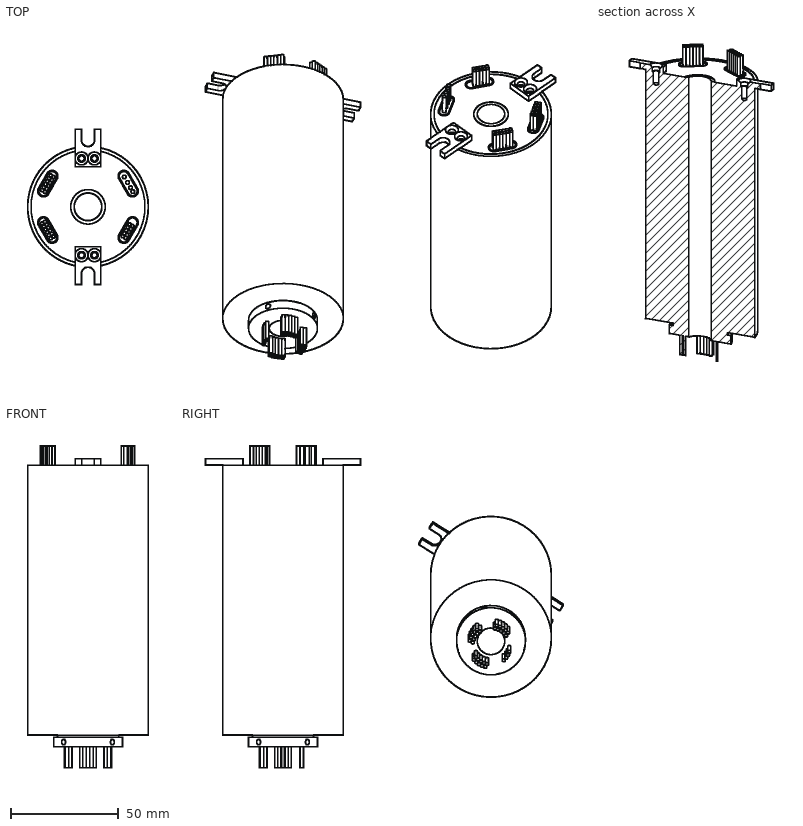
import cadquery as cq
import math

body_diameter = 56.0
body_height = 125.0
bore_diameter = 12.7
cover_inner_diameter = 16.0
cover_outer_diameter = 52.8
cover_recess = 0.2

neck_diameter = 28.5
neck_height = 1.0
flange_diameter = 32.0
flange_height = 4.5
set_screw_diameter = 2.5
set_screw_depth = 4.0
set_screw_angles = (45, 135, 225, 315)

plate_width = 12.0
plate_thickness = 3.0
plate_inner_y = 18.5
plate_outer_y = 36.0
fork_slot_width = 6.0
fork_slot_end_y = 28.0
screw_spacing = 6.0
screw_end_distance = 3.9
countersink_diameter = 6.0
countersink_angle = 90.0
plate_hole_diameter = 3.4
tapped_hole_diameter = 2.5
tapped_hole_depth = 6.0
drill_point_angle = 118.0

window_radius = 21.5
window_centre_length = 8.0
window_width = 5.3
sleeve_wall = 0.5
sleeve_recess = 0.2
window_depth = 0.4

row_count = 2
wire_diameter = 1.5
wire_pitch = 1.58
wire_row_spacing = 1.55
top_wire_length = 9.0
top_bundles = (
    (150, 6, 0.0),
    (210, 6, 0.0),
    (330, 5, -0.6),
)
thick_wire_diameter = 1.7
thick_wire_angle = 30
thick_wire_offsets = (3.6, 0.6, -2.2, -4.3)

bottom_wire_length = 9.7
bottom_wire_pitch = 1.58
bottom_inner_row_radius = 8.65
bottom_outer_row_radius = bottom_inner_row_radius + wire_row_spacing
bottom_single_row_radius = 8.9
double_row = (bottom_inner_row_radius, bottom_outer_row_radius)
bottom_bundles = (
    (0, double_row, 5),
    (90, (bottom_single_row_radius,), 4),
    (180, double_row, 5),
    (270, double_row, 5),
)

cover_z = body_height - cover_recess
window_floor_z = cover_z - window_depth
flange_bottom_z = -neck_height - flange_height
embed = 0.5


def disc(diameter, z_low, z_high):
    """Upright cylinder on the Z axis between two heights."""
    return cq.Workplane("XY").workplane(offset=z_low).circle(diameter / 2).extrude(z_high - z_low)


def centred_steps(count, pitch):
    """Evenly spaced offsets, centred on zero."""
    return [(index - (count - 1) / 2) * pitch for index in range(count)]


def straight_rows(radius, row_spacing, offsets):
    """Wire positions about a point on +X, in straight rows along Y."""
    return [(radius + shift, along) for shift in centred_steps(row_count, row_spacing) for along in offsets]


def arc_row(radius, count, pitch):
    """Wire positions along an arc about the Z axis, centred on +X."""
    turns = centred_steps(count, pitch / radius)
    return [(radius * math.cos(turn), radius * math.sin(turn)) for turn in turns]


def wires(positions, diameter, angle, z_low, z_high):
    """Bundle of upright wires, turned about Z to its place."""
    bundle = cq.Workplane("XY").workplane(offset=z_low).pushPoints(positions)
    bundle = bundle.circle(diameter / 2).extrude(z_high - z_low)
    return bundle.rotate((0, 0, 0), (0, 0, 1), angle)


def drum():
    solid = disc(body_diameter, 0, body_height)
    recess = disc(cover_outer_diameter, cover_z, body_height)
    recess = recess.cut(disc(cover_inner_diameter, cover_z, body_height))
    return solid.cut(recess)


def collar():
    neck = disc(neck_diameter, -neck_height, embed)
    flange = disc(flange_diameter, flange_bottom_z, -neck_height)
    solid = neck.union(flange)
    for angle in set_screw_angles:
        hole = (
            cq.Workplane("YZ")
            .workplane(offset=flange_diameter / 2 - set_screw_depth)
            .center(0, flange_bottom_z + flange_height / 2)
            .circle(set_screw_diameter / 2)
            .extrude(2 * set_screw_depth)
        )
        solid = solid.cut(hole.rotate((0, 0, 0), (0, 0, 1), angle))
    return solid


def window(angle):
    """Stepped obround pocket: a shallow sleeve rim around a deeper floor."""
    def pocket(width, top_z, floor_z):
        return (
            cq.Workplane("XY", origin=(window_radius, 0, floor_z))
            .slot2D(window_centre_length + width, width, 90)
            .extrude(top_z - floor_z)
        )

    rim = pocket(window_width, body_height, cover_z - sleeve_recess)
    well = pocket(window_width - 2 * sleeve_wall, body_height, window_floor_z)
    return rim.union(well).rotate((0, 0, 0), (0, 0, 1), angle)


def fork_plate():
    """Plate on the +Y side, open fork pointing outward."""
    length = plate_outer_y - plate_inner_y
    plate = cq.Workplane("XY", origin=(0, plate_inner_y + length / 2, body_height))
    plate = plate.rect(plate_width, length).extrude(plate_thickness)
    slot_centre_y = fork_slot_end_y + fork_slot_width / 2
    slot = (
        cq.Workplane("XY", origin=(0, 0, body_height))
        .moveTo(-fork_slot_width / 2, plate_outer_y)
        .lineTo(-fork_slot_width / 2, slot_centre_y)
        .threePointArc((0, fork_slot_end_y), (fork_slot_width / 2, slot_centre_y))
        .lineTo(fork_slot_width / 2, plate_outer_y)
        .close()
        .extrude(plate_thickness)
    )
    seat_length = cover_outer_diameter / 2 - plate_inner_y
    seat = cq.Workplane("XY", origin=(0, plate_inner_y + seat_length / 2, cover_z))
    seat = seat.rect(plate_width, seat_length).extrude(cover_recess)
    return plate.cut(slot).union(seat)


def screw_hole(x, y):
    """Countersunk clearance hole in the plate over a blind tapped hole in the drum."""
    plate_top_z = body_height + plate_thickness
    sink_radius = countersink_diameter / 2
    clear_radius = plate_hole_diameter / 2
    tap_radius = tapped_hole_diameter / 2
    sink_depth = (sink_radius - clear_radius) / math.tan(math.radians(countersink_angle / 2))
    point_depth = tap_radius / math.tan(math.radians(drill_point_angle / 2))
    tap_bottom_z = cover_z - tapped_hole_depth
    return (
        cq.Workplane("XZ")
        .moveTo(0, plate_top_z)
        .lineTo(sink_radius, plate_top_z)
        .lineTo(clear_radius, plate_top_z - sink_depth)
        .lineTo(clear_radius, cover_z)
        .lineTo(tap_radius, cover_z)
        .lineTo(tap_radius, tap_bottom_z)
        .lineTo(0, tap_bottom_z - point_depth)
        .close()
        .revolve(360, (0, 0, 0), (0, 1, 0))
        .translate((x, y, 0))
    )


def top_wires():
    top_z = body_height + top_wire_length
    low_z = window_floor_z - embed
    thick = [(window_radius, offset) for offset in thick_wire_offsets]
    bundles = [wires(thick, thick_wire_diameter, thick_wire_angle, low_z, top_z)]
    for angle, count, shift in top_bundles:
        offsets = [step + shift for step in centred_steps(count, wire_pitch)]
        places = straight_rows(window_radius, wire_row_spacing, offsets)
        bundles.append(wires(places, wire_diameter, angle, low_z, top_z))
    return bundles


def bottom_wires():
    low_z = flange_bottom_z - bottom_wire_length
    high_z = flange_bottom_z + embed
    bundles = []
    for angle, radii, count in bottom_bundles:
        places = [place for radius in radii for place in arc_row(radius, count, bottom_wire_pitch)]
        bundles.append(wires(places, wire_diameter, angle, low_z, high_z))
    return bundles


result = drum().union(collar())
result = result.cut(disc(bore_diameter, flange_bottom_z, body_height))

for window_angle in (thick_wire_angle, *[bundle[0] for bundle in top_bundles]):
    result = result.cut(window(window_angle))

plate = fork_plate()
result = result.union(plate).union(plate.rotate((0, 0, 0), (0, 0, 1), 180))
screw_y = plate_inner_y + screw_end_distance
for side in (1, -1):
    for x in (-screw_spacing / 2, screw_spacing / 2):
        result = result.cut(screw_hole(x, side * screw_y))

for bundle in top_wires() + bottom_wires():
    result = result.union(bundle)